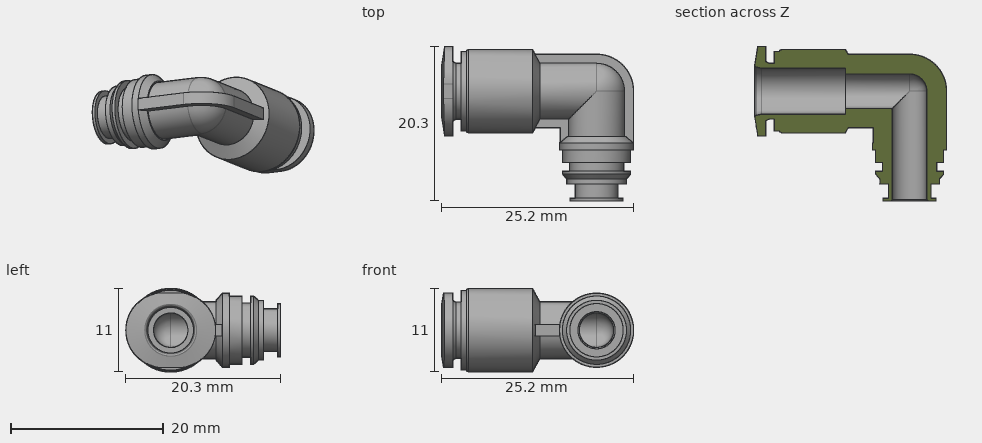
import cadquery as cq


overall_length = 25.18
overall_width = 20.3
pipe_radius = 7.5 / 2
collar_neck_radius = 7.4 / 2
passage_radius = 4.5 / 2
rib_reach = 9.75 / 2
inner_rib_reach = 4.78
rib_thickness = 1.55

tube_arm_length = overall_length - rib_reach
tube_end = -tube_arm_length
collar_radius = 4.9
collar_half_height = 5.9
collar_thickness = 1.49
collar_dish = 0.4
collar_root_radius = 3.9
collar_root_end = 1.86
sleeve_start = 2.57
sleeve_radius = 10.47 / 2
shell_start = 3.25
shell_radius = 11.0 / 2
shell_edge_width = 0.3
shell_edge_depth = 0.18
shell_taper_start = 11.9
shell_end = 12.87
tube_socket_radius = 6.0 / 2
tube_mouth_rounding = 0.25
tube_lead_in_radius = 3.15
tube_lead_in_end = 0.9
tube_mouth_radius = tube_lead_in_radius + tube_mouth_rounding
tube_socket_depth = shell_taper_start

flange_radius = rib_reach
flange_taper_start = 5.95
flange_taper_radius = 3.93
flange_start = 6.77
flange_end = 7.7
land_radius = 8.96 / 2
land_end = 9.37
groove_radius = 7.15 / 2
groove_end = 10.47
barb_rim_end = 10.88
barb_taper_end = 11.5
barb_radius = 7.85 / 2
barb_end = 12.19
nose_radius = 5.65 / 2
nose_end = 14.0
lip_radius = 7.0 / 2
plug_end = overall_width - collar_half_height
plug_mouth_radius = 4.88 / 2
plug_mouth_chamfer = plug_mouth_radius - passage_radius


def turned_on_x(profile):
    """Revolve (distance from open end, radius) points about the tube arm axis."""
    points = [(tube_end + distance, radius) for distance, radius in profile]
    return cq.Workplane("XY").polyline(points).close().revolve(360, (0, 0), (1, 0))


def turned_on_y(profile):
    """Revolve (distance from elbow centre, radius) points about the plug arm axis."""
    points = [(radius, -distance) for distance, radius in profile]
    return cq.Workplane("XY").polyline(points).close().revolve(360, (0, 0), (0, 1))


def tube_arm():
    return turned_on_x([
        (collar_thickness, 0),
        (collar_thickness, collar_root_radius),
        (collar_root_end, collar_neck_radius),
        (sleeve_start, collar_neck_radius),
        (sleeve_start, sleeve_radius),
        (shell_start, sleeve_radius),
        (shell_start, shell_radius - shell_edge_depth),
        (shell_start + shell_edge_width, shell_radius),
        (shell_taper_start, shell_radius),
        (shell_end, pipe_radius),
        (tube_arm_length, pipe_radius),
        (tube_arm_length, 0),
    ])


def release_collar():
    """Obround plate whose outer face is a shallow cone."""
    plate = (
        cq.Workplane("YZ", origin=(tube_end, 0, 0))
        .slot2D(2 * collar_half_height, 2 * collar_radius)
        .extrude(collar_thickness)
    )
    cone_envelope = turned_on_x([
        (0, 0),
        (0, tube_mouth_radius),
        (collar_dish, collar_half_height),
        (collar_thickness, collar_half_height),
        (collar_thickness, 0),
    ])
    return plate.intersect(cone_envelope)


def plug_arm():
    return turned_on_y([
        (0, 0),
        (0, pipe_radius),
        (flange_taper_start, pipe_radius),
        (flange_taper_start, flange_taper_radius),
        (flange_start, flange_radius),
        (flange_end, flange_radius),
        (flange_end, land_radius),
        (land_end, land_radius),
        (land_end, groove_radius),
        (groove_end, groove_radius),
        (groove_end, land_radius),
        (barb_rim_end, land_radius),
        (barb_taper_end, barb_radius),
        (barb_end, barb_radius),
        (barb_end, nose_radius),
        (nose_end, nose_radius),
        (nose_end, lip_radius),
        (plug_end, lip_radius),
        (plug_end, 0),
    ])


def rib():
    """Flat L-shaped web on the plane of the two axes, rounded at the outer corner."""
    rib_left = tube_end + shell_taper_start
    return (
        cq.Workplane("XY", origin=(0, 0, -rib_thickness / 2))
        .moveTo(rib_left, rib_reach)
        .lineTo(0, rib_reach)
        .radiusArc((rib_reach, 0), rib_reach)
        .lineTo(rib_reach, -flange_start)
        .lineTo(-inner_rib_reach, -flange_start)
        .lineTo(-inner_rib_reach, -inner_rib_reach)
        .lineTo(rib_left, -inner_rib_reach)
        .close()
        .extrude(rib_thickness)
    )


def tube_bore():
    """Stepped bore with a rounded mouth and a slightly conical lead-in."""
    floor = tube_end + tube_socket_depth
    return (
        cq.Workplane("XY")
        .moveTo(tube_end, 0)
        .lineTo(tube_end, tube_mouth_radius)
        .radiusArc((tube_end + tube_mouth_rounding, tube_lead_in_radius), -tube_mouth_rounding)
        .lineTo(tube_end + tube_lead_in_end, tube_socket_radius)
        .lineTo(floor, tube_socket_radius)
        .lineTo(floor, passage_radius)
        .lineTo(0, passage_radius)
        .lineTo(0, 0)
        .close()
        .revolve(360, (0, 0), (1, 0))
    )


def plug_bore():
    return turned_on_y([
        (0, 0),
        (0, passage_radius),
        (plug_end - plug_mouth_chamfer, passage_radius),
        (plug_end, plug_mouth_radius),
        (plug_end, 0),
    ])


body = (
    tube_arm()
    .union(release_collar())
    .union(plug_arm())
    .union(cq.Workplane("XY").sphere(pipe_radius))
    .union(rib())
)
passage = tube_bore().union(plug_bore()).union(cq.Workplane("XY").sphere(passage_radius))
result = body.cut(passage)